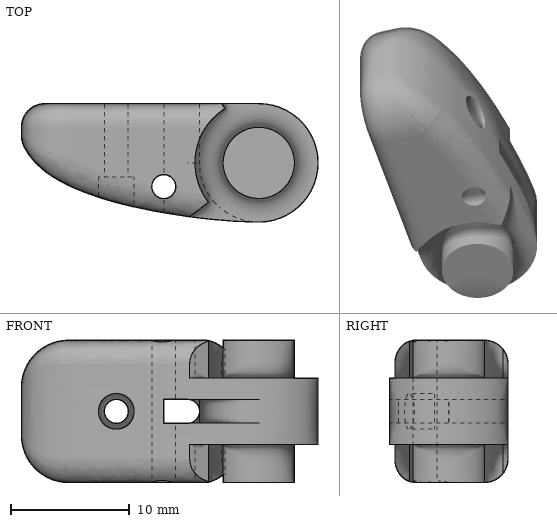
import cadquery as cq
import math

total_height = 12.0
half_height = total_height / 2
lever_reach = 20.0
knuckle_radius = 5.0
knuckle_thickness = 5.6
pin_diameter = 6.0

tip_corner_radius = 4.0
edge_fillet = 2.0
front_curve_start = (-lever_reach, 1.87)
front_curve_handles = [(-18.62, -1.58), (-14.49, -3.63), (-4.71, -knuckle_radius)]
front_curve_end = (0, -knuckle_radius)

clearance_radius = 5.38
clearance_start_angle = 122.0
clearance_end_angle = 218.0

slot_width = 2.0
slot_end_x = -8.0

cross_hole_diameter = 2.0
cross_hole_x = slot_end_x
cross_hole_y = -2.0
spring_hole_x = -12.0
spring_hole_diameter = 2.0
spring_bore_diameter = 3.0
spring_bore_floor_y = -1.2


def centered_disk(radius, height):
    """Disk on the Z axis, half above and half below the XY plane."""
    return cq.Workplane("XY").workplane(offset=-height / 2).circle(radius).extrude(height)


def make_lever():
    """Tapered lever with a rounded tip and rounded front and back edges."""
    lever = (
        cq.Workplane("XY")
        .workplane(offset=-half_height)
        .moveTo(*front_curve_start)
        .bezier([front_curve_start, *front_curve_handles, front_curve_end])
        .lineTo(0, knuckle_radius)
        .lineTo(-lever_reach, knuckle_radius)
        .close()
        .extrude(total_height)
    )
    tip_edges = lever.faces("<X").edges("|Y")
    lever = tip_edges.fillet(tip_corner_radius)
    rim_edges = lever.faces(">Y or <Y").edges().edges("not(>X)")
    return rim_edges.fillet(edge_fillet)


def make_clearance(side):
    """Round pocket with a flared sector, beside the knuckle on one side (+1 or -1)."""
    flare_length = 2 * knuckle_radius
    start = math.radians(clearance_start_angle)
    end = math.radians(clearance_end_angle)
    flare_start = (flare_length * math.cos(start), flare_length * math.sin(start))
    flare_end = (flare_length * math.cos(end), flare_length * math.sin(end))
    depth = side * (half_height - knuckle_thickness / 2)
    base = cq.Workplane("XY").workplane(offset=side * knuckle_thickness / 2)
    pocket = base.circle(clearance_radius).extrude(depth)
    flare = (
        base.moveTo(0, 0)
        .lineTo(*flare_start)
        .lineTo(flare_length, flare_start[1])
        .lineTo(flare_length, flare_end[1])
        .lineTo(*flare_end)
        .close()
        .extrude(depth)
    )
    return pocket.union(flare)


def make_slot():
    """Square-ended pocket in the front half, continuing to the back as a round-ended slot."""
    front_length = -slot_end_x
    pocket = (
        cq.Workplane("XY")
        .box(front_length, knuckle_radius, slot_width, centered=(False, False, True))
        .translate((slot_end_x, -knuckle_radius, 0))
        .cut(centered_disk(knuckle_radius, slot_width))
    )
    round_center_x = -knuckle_radius - slot_width / 2
    round_top = (round_center_x, slot_width / 2)
    through_slot = (
        cq.Workplane("XZ")
        .moveTo(slot_end_x, -slot_width / 2)
        .lineTo(round_center_x, -slot_width / 2)
        .threePointArc((-knuckle_radius, 0), round_top)
        .lineTo(slot_end_x, slot_width / 2)
        .close()
        .extrude(-knuckle_radius)
    )
    return pocket.union(through_slot)


def make_holes():
    """Vertical cross hole and the stepped hole running from front to back."""
    cross_hole = (
        centered_disk(cross_hole_diameter / 2, total_height)
        .translate((cross_hole_x, cross_hole_y, 0))
    )
    spring_axis = cq.Workplane("XZ").center(spring_hole_x, 0)
    through_hole = spring_axis.circle(spring_hole_diameter / 2).extrude(knuckle_radius, both=True)
    bore = (
        spring_axis.circle(spring_bore_diameter / 2)
        .extrude(knuckle_radius)
        .translate((0, spring_bore_floor_y, 0))
    )
    return cross_hole.union(through_hole).union(bore)


lever = make_lever()
for side in (1, -1):
    lever = lever.cut(make_clearance(side))
knuckle = centered_disk(knuckle_radius, knuckle_thickness)
pin = centered_disk(pin_diameter / 2, total_height)

result = lever.union(knuckle).union(pin).cut(make_slot()).cut(make_holes())